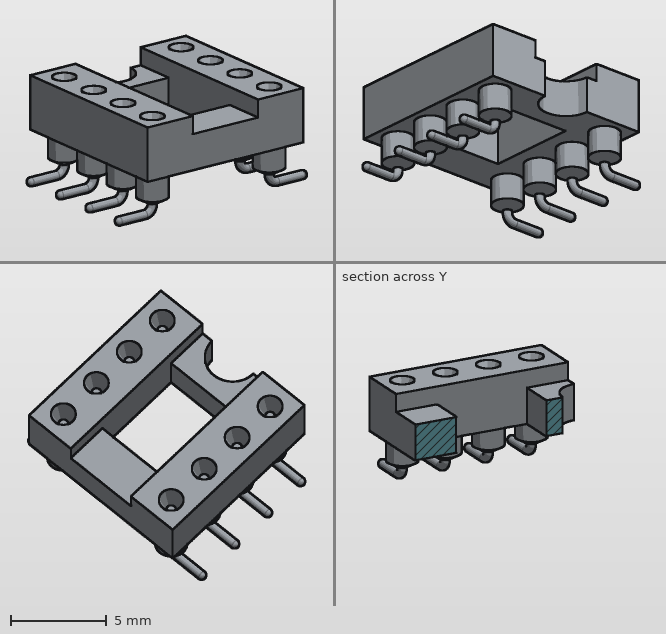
import cadquery as cq

pins_per_row = 4
body_side = 10.16
body_height = 3.0
rail_width = 2.95
bridge_drop = 0.99
bridge_width = 2.43
notch_radius = 1.45

pin_pitch = body_side / pins_per_row
row_spacing = 3 * pin_pitch
collar_radius = 0.86
collar_length = 1.44
taper_length = 0.34
socket_mouth_radius = 0.65
socket_floor_radius = 0.25
socket_depth = 0.99

overall_length = 12.42
overall_height = 5.59
lead_radius = 0.25
bend_radius = 0.5

collar_bottom = -body_height - collar_length
taper_bottom = collar_bottom - taper_length
lead_axis_height = lead_radius - overall_height
bend_top = lead_axis_height + bend_radius

pin_row_offset = row_spacing / 2
lead_tip = overall_length / 2 - pin_row_offset
lead_straight_end = lead_tip - lead_radius


def make_housing():
    """Two rails with a central window and a pin-one notch in the -X bridge."""
    gap_between_rails = body_side - 2 * rail_width
    window_length = body_side - 2 * bridge_width
    housing = cq.Workplane("XY").rect(body_side, body_side).extrude(-body_height)
    channel = cq.Workplane("XY").rect(body_side, gap_between_rails).extrude(-bridge_drop)
    window = cq.Workplane("XY").rect(window_length, gap_between_rails).extrude(-body_height)
    notch = cq.Workplane("XY").center(-body_side / 2, 0).circle(notch_radius).extrude(-body_height)
    return housing.cut(channel).cut(window).cut(notch)


def make_pin():
    """Pin on the Z axis with its lead bent towards +Y."""
    barrel = (
        cq.Workplane("XZ")
        .moveTo(0, 0)
        .lineTo(collar_radius, 0)
        .lineTo(collar_radius, collar_bottom)
        .lineTo(lead_radius, taper_bottom)
        .lineTo(lead_radius, bend_top)
        .lineTo(0, bend_top)
        .close()
        .revolve(360, (0, 0, 0), (0, 1, 0))
    )
    bend = (
        cq.Workplane("XY", origin=(0, 0, bend_top))
        .circle(lead_radius)
        .revolve(90, (0, bend_radius, 0), (1, bend_radius, 0))
    )
    foot = (
        cq.Workplane("XZ", origin=(0, bend_radius, lead_axis_height))
        .circle(lead_radius)
        .extrude(-(lead_straight_end - bend_radius))
    )
    tip = cq.Workplane("XY", origin=(0, lead_straight_end, lead_axis_height)).sphere(lead_radius)
    return barrel.union(bend).union(foot).union(tip)


def make_socket():
    """Tapered hole that receives a component leg."""
    return (
        cq.Workplane("XZ")
        .moveTo(0, 0)
        .lineTo(socket_mouth_radius, 0)
        .lineTo(socket_floor_radius, -socket_depth)
        .lineTo(0, -socket_depth)
        .close()
        .revolve(360, (0, 0, 0), (0, 1, 0))
    )


result = make_housing()
pin = make_pin().translate((0, pin_row_offset, 0))
socket = make_socket().translate((0, pin_row_offset, 0))

for row_turn in (0, 180):
    row_pin = pin.rotate((0, 0, 0), (0, 0, 1), row_turn)
    row_socket = socket.rotate((0, 0, 0), (0, 0, 1), row_turn)
    for index in range(pins_per_row):
        pin_x = (index - (pins_per_row - 1) / 2) * pin_pitch
        result = result.union(row_pin.translate((pin_x, 0, 0)))
        result = result.cut(row_socket.translate((pin_x, 0, 0)))